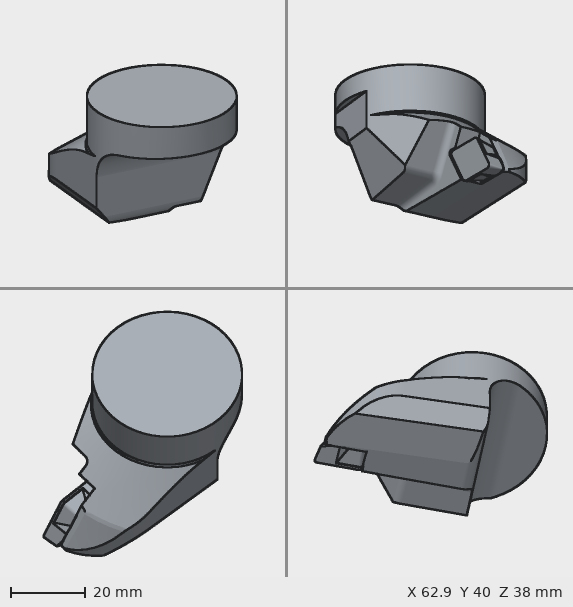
import cadquery as cq
import math

LARGE = 75.45
CUT_MARGIN = 7.55

SHANK_RADIUS = 20.0
SHANK_LENGTH = 14.0
UPPER_CONE_ANGLE = 36.6
LOWER_CONE_ANGLE = 58.6
CONE_JOINT_RADIUS = 35.1
SHANK_FILLET = 0.95
CONE_FILLET = 3.0

NOSE_CENTRE_X = -22.5
SIDE_ANGLE = 29.3

BASE_TILT = 3.1
BASE_CROSS_TILT = 6.2
BASE_EDGE_Y = -15.7
BASE_EDGE_Z = -33.95
BASE_CREST_Z = -35.0
FRONT_CHAMFER_WIDTH = SHANK_RADIUS + BASE_EDGE_Y
FRONT_CHAMFER_HEIGHT = 5.5

REAR_FLAT_Y = 18.1
REAR_FLAT_Z = -6.1
REAR_CHAMFER_Z = -17.0
REAR_CHAMFER_ANGLE = 23.3
HEEL_X = 0.95
HEEL_SHELF_Z = -9.1
HEEL_SHELF_ANGLE = 4.4
HEEL_RADIUS = 9.6
HEEL_CORNER_RADIUS = 3.65

TIP_X = -43.6
TIP_Z = -38.05
TIP_Y = -0.1
SEAT_TURN = 2.4
LEAD_ANGLE = 3.0
POINT_ANGLE = 55.0
EDGE_LENGTH = 13.45
THICKNESS = 5.55
CLEARANCE_ANGLE = 7.0
NOSE_RADIUS = 0.8
BLUNT_RADIUS = 1.75
TIP_RELIEF_LENGTH = 3.9
TIP_RELIEF_HEIGHT = 1.3

RECESS_TOP = 0.8
RECESS_DEPTH = 0.25
RECESS_EXTRA_DEPTH = 0.3
RECESS_START = 6.4
RECESS_RAMP = 0.2
RECESS_EXTRA_RAMP = 2.4
RECESS_CORNER_RADIUS = 0.95

OVERHANG_ANGLE = 30.0
NOTCH_WALL_X = -25.65
NOTCH_WALL_Z = -18.5
NOTCH_FLOOR = 0.55
NOTCH_LOWER_Z = -31.9
NOTCH_CORNER_RADIUS = 2.65
NOTCH_FLOOR_RADIUS = 1.9
POCKET_WALL_X = -29.4
POCKET_WALL_Z = -21.25
NOSE_FLAT_X = -34.45
NOSE_FLAT_Z = -25.5
NOSE_FLAT_RISE = 9.4
NOSE_EDGE_RADIUS = 0.7


def polar(length, angle):
    """Point at a length and an angle in degrees."""
    return (length * math.cos(math.radians(angle)), length * math.sin(math.radians(angle)))


def shift(point, offset):
    return (point[0] + offset[0], point[1] + offset[1])


def slope(angle):
    return math.tan(math.radians(angle))


UPPER_EDGE_ANGLE = LEAD_ANGLE + POINT_ANGLE
BLUNT_LOW = polar(EDGE_LENGTH, LEAD_ANGLE)
BLUNT_HIGH = polar(EDGE_LENGTH, UPPER_EDGE_ANGLE)
FAR_POINT = shift(BLUNT_LOW, BLUNT_HIGH)


def seat_plane(depth=0.0):
    """Plane parallel to the rake face, this deep into the insert; origin at the sharp corner."""
    turn = math.radians(SEAT_TURN)
    normal = (math.sin(turn), -math.cos(turn), 0)
    origin = (TIP_X + depth * normal[0], TIP_Y + depth * normal[1], TIP_Z)
    return cq.Workplane(cq.Plane(origin=origin, xDir=(math.cos(turn), math.sin(turn), 0), normal=normal))



def rhombus(thickness, taper=0.0):
    """Plate below the rake face with rounded corners; a negative thickness goes above it."""
    plane = seat_plane().plane
    corners = [plane.toWorldCoords(p) for p in ((0, 0), BLUNT_LOW, FAR_POINT, BLUNT_HIGH)]
    outline = cq.Face.makeFromWires(cq.Wire.makePolygon(corners, close=True))
    for places, radius in ((corners[::2], NOSE_RADIUS), (corners[1::2], BLUNT_RADIUS)):
        rounded = [v for v in outline.Vertices() if any((v.Center() - p).Length < 0.05 for p in places)]
        outline = outline.fillet2D(radius, rounded)
    return cq.Workplane(plane).add(outline.outerWire()).toPending().extrude(thickness, taper=taper)


def tip_relief(corner, inward_angle):
    """Wedge that bevels the bottom face below a sharp corner."""
    base = seat_plane(THICKNESS).plane
    inward = base.toWorldCoords(polar(0.6, inward_angle)) - base.origin
    across = base.zDir.cross(inward)
    side = cq.Plane(origin=base.toWorldCoords(corner), xDir=inward, normal=across)
    outline = [
        (-TIP_RELIEF_LENGTH, 0),
        (-TIP_RELIEF_LENGTH, 2 * TIP_RELIEF_HEIGHT),
        (TIP_RELIEF_LENGTH, 0),
    ]
    return cq.Workplane(side).polyline(outline).close().extrude(LARGE / 2, both=True)


def flank_recess(corner, edge_angle, inward):
    """Shallow pocket in one flank, from a ramp near the sharp corner past the blunt corner."""
    def section(depth, recess_depth, ramp):
        flank = depth * slope(CLEARANCE_ANGLE)
        points = [
            (RECESS_START, flank - CUT_MARGIN),
            (RECESS_START, flank),
            (RECESS_START + ramp, flank + recess_depth),
            (EDGE_LENGTH, flank + recess_depth),
            (EDGE_LENGTH, flank - CUT_MARGIN),
        ]
        placed = [
            shift(corner, shift(polar(a, edge_angle), polar(b, edge_angle + 90 * inward)))
            for a, b in points
        ]
        return seat_plane(depth).polyline(placed).close().wire().val()

    top = section(RECESS_TOP, RECESS_DEPTH, RECESS_RAMP)
    bottom = section(
        THICKNESS, RECESS_DEPTH + RECESS_EXTRA_DEPTH, RECESS_RAMP + RECESS_EXTRA_RAMP
    )
    return cq.Workplane(cq.Solid.makeLoft([top, bottom], True))


def make_insert():
    insert = rhombus(THICKNESS, CLEARANCE_ANGLE)
    middle_angle = LEAD_ANGLE + POINT_ANGLE / 2
    for corner, turn in (((0, 0), 0), (FAR_POINT, 180)):
        insert = insert.cut(tip_relief(corner, middle_angle + turn))
        insert = insert.cut(flank_recess(corner, LEAD_ANGLE + turn, 1))
        insert = insert.cut(flank_recess(corner, UPPER_EDGE_ANGLE + turn, -1))
    for corner in (BLUNT_LOW, BLUNT_HIGH):
        middle = seat_plane(THICKNESS / 2).plane.toWorldCoords(corner)
        insert = insert.edges(cq.NearestToPointSelector(middle.toTuple())).fillet(RECESS_CORNER_RADIUS)
    return insert



def cone_skirt():
    """Two cones widening below the shank, with a concave fillet at the top."""
    turn = 90 - UPPER_CONE_ANGLE
    tangent = SHANK_FILLET * slope(turn / 2)
    fillet_middle = polar(SHANK_FILLET, 180 + turn / 2)
    top = (SHANK_RADIUS, tangent - SHANK_LENGTH)
    centre = shift(top, (SHANK_FILLET, 0))
    joint_z = -SHANK_LENGTH - (CONE_JOINT_RADIUS - SHANK_RADIUS) * slope(UPPER_CONE_ANGLE)
    bottom_z = joint_z - LARGE / 4
    bottom_radius = CONE_JOINT_RADIUS + (LARGE / 4) / slope(LOWER_CONE_ANGLE)
    skirt = (
        cq.Workplane("XZ")
        .moveTo(0, top[1])
        .lineTo(*top)
        .threePointArc(shift(centre, fillet_middle), shift(centre, polar(SHANK_FILLET, 180 + turn)))
        .lineTo(CONE_JOINT_RADIUS, joint_z)
        .lineTo(bottom_radius, bottom_z)
        .lineTo(0, bottom_z)
        .close()
        .revolve(360, (0, 0), (0, 1))
    )
    return skirt.edges(cq.NearestToPointSelector((0, 0, joint_z))).fillet(CONE_FILLET)


def turned_form():
    """Round shank on the part of the cones that lies inside the plan outline."""
    skirt = cone_skirt().intersect(plan_outline())
    shank_length = SHANK_LENGTH - SHANK_FILLET * slope((90 - UPPER_CONE_ANGLE) / 2)
    return cq.Workplane("XY").circle(SHANK_RADIUS).extrude(-shank_length).union(skirt)


def plan_outline():
    """Vertical prism: shank circle, straight front face, round nose and slanted rear side."""
    nose_left = NOSE_CENTRE_X - SHANK_RADIUS
    diagonal = SHANK_RADIUS * math.sqrt(0.5)
    tangent = polar(SHANK_RADIUS, 90 + SIDE_ANGLE)
    side_end_y = tangent[1] + (POCKET_WALL_X - tangent[0]) * slope(SIDE_ANGLE)
    return (
        cq.Workplane("XY")
        .moveTo(0, -SHANK_RADIUS)
        .lineTo(NOSE_CENTRE_X, -SHANK_RADIUS)
        .threePointArc((NOSE_CENTRE_X - diagonal, -diagonal), (nose_left, 0))
        .lineTo(POCKET_WALL_X, side_end_y)
        .lineTo(*tangent)
        .threePointArc((SHANK_RADIUS, 0), (0, -SHANK_RADIUS))
        .close()
        .extrude(-LARGE)
    )


def side_profile_tool():
    """Everything outside the nose flat, the underside, the heel and the shelf of the shank."""
    rise = slope(BASE_TILT)
    flat_slope = slope(UPPER_EDGE_ANGLE)
    flat_top = shift((NOSE_FLAT_X, NOSE_FLAT_Z), polar(NOSE_FLAT_RISE, UPPER_EDGE_ANGLE))
    nose_x = (BASE_CREST_Z - NOSE_FLAT_Z + NOSE_FLAT_X * flat_slope) / (flat_slope - rise)
    nose = (nose_x, BASE_CREST_Z + nose_x * rise)
    heel = (HEEL_X, BASE_CREST_Z + HEEL_X * rise)
    shelf_slope = slope(HEEL_SHELF_ANGLE)
    shelf = (HEEL_X, HEEL_SHELF_Z - (SHANK_RADIUS - HEEL_X) * shelf_slope)
    section = [
        flat_top,
        nose,
        heel,
        shelf,
        (LARGE, HEEL_SHELF_Z + (LARGE - SHANK_RADIUS) * shelf_slope),
        (LARGE, -LARGE),
        (-LARGE, -LARGE),
        (-LARGE, flat_top[1]),
    ]
    tool = cq.Workplane("XZ").polyline(section).close().extrude(LARGE, both=True)
    for (x, z), radius in (
        (nose, NOSE_EDGE_RADIUS),
        (heel, HEEL_CORNER_RADIUS),
        (shelf, HEEL_RADIUS),
    ):
        tool = tool.edges(cq.NearestToPointSelector((x, 0, z))).fillet(radius)
    return tool


def base_tool():
    """Everything below the tilted underside and its front chamfer."""
    chamfer_slope = FRONT_CHAMFER_HEIGHT / FRONT_CHAMFER_WIDTH
    outer_y = -2 * SHANK_RADIUS
    section = [
        (outer_y, BASE_EDGE_Z + (BASE_EDGE_Y - outer_y) * chamfer_slope),
        (BASE_EDGE_Y, BASE_EDGE_Z),
        (LARGE, BASE_EDGE_Z - (LARGE - BASE_EDGE_Y) * slope(BASE_CROSS_TILT)),
        (LARGE, -LARGE),
        (outer_y, -LARGE),
    ]
    tool = cq.Workplane("YZ").polyline(section).close().extrude(LARGE, both=True)
    pivot = (0, 0, BASE_EDGE_Z)
    return tool.rotate(pivot, (0, 1, BASE_EDGE_Z), -BASE_TILT)


def rear_tool():
    """Everything behind the rear flat and the rear chamfer."""
    section = [
        (LARGE, REAR_FLAT_Z),
        (REAR_FLAT_Y, REAR_FLAT_Z),
        (REAR_FLAT_Y, REAR_CHAMFER_Z),
        (REAR_FLAT_Y - (LARGE + REAR_CHAMFER_Z) * slope(REAR_CHAMFER_ANGLE), -LARGE),
        (LARGE, -LARGE),
    ]
    return cq.Workplane("YZ").polyline(section).close().extrude(LARGE, both=True)


def local(x, z):
    """Position measured from the sharp corner of the insert."""
    return (x - TIP_X, z - TIP_Z)


def notch_tool():
    """Chip space: overhanging wall, rounded lower corner and a filleted floor."""
    lower_x = NOTCH_WALL_X + (NOTCH_WALL_Z - NOTCH_LOWER_Z) * slope(OVERHANG_ANGLE)
    upper_x = NOTCH_WALL_X + NOTCH_WALL_Z * slope(OVERHANG_ANGLE)
    end_x = LARGE / 2
    end_z = NOTCH_LOWER_Z - (end_x - lower_x) * slope(BASE_TILT)
    section = [
        local(upper_x, 0),
        local(lower_x, NOTCH_LOWER_Z),
        local(end_x, end_z),
        local(end_x, -LARGE),
        local(-LARGE, -LARGE),
        local(-LARGE, 0),
    ]
    floor = seat_plane(-NOTCH_FLOOR)
    tool = floor.polyline(section).close().extrude(-LARGE / 2)
    corner = floor.plane.toWorldCoords((*local(lower_x, NOTCH_LOWER_Z), -LARGE / 4))
    tool = tool.edges(cq.NearestToPointSelector(corner.toTuple())).fillet(NOTCH_CORNER_RADIUS)
    wall = floor.plane.toWorldCoords(local((upper_x + lower_x) / 2, NOTCH_LOWER_Z / 2))
    return tool.edges(cq.NearestToPointSelector(wall.toTuple())).fillet(NOTCH_FLOOR_RADIUS)


def pocket_tool():
    """Open space around the insert, beside and above its seat."""
    top_x = POCKET_WALL_X + POCKET_WALL_Z * slope(OVERHANG_ANGLE)
    upper_edge_z = TIP_Z + BLUNT_HIGH[1] + (POCKET_WALL_X - TIP_X - BLUNT_HIGH[0]) * slope(LEAD_ANGLE)
    low_x = POCKET_WALL_X + (POCKET_WALL_Z - upper_edge_z) * slope(OVERHANG_ANGLE)
    section = [
        local(top_x, 0),
        local(low_x, upper_edge_z),
        BLUNT_LOW,
        (BLUNT_LOW[0], -LARGE),
        local(-LARGE, -LARGE),
        local(-LARGE, 0),
    ]
    return seat_plane(THICKNESS).polyline(section).close().extrude(-LARGE / 2)


def make_head():
    head = turned_form()
    for tool in (base_tool(), side_profile_tool(), rear_tool(), notch_tool(), pocket_tool()):
        head = head.cut(tool)
    seat = rhombus(THICKNESS, CLEARANCE_ANGLE).union(rhombus(-CUT_MARGIN))
    return head.cut(seat)


head = make_head()
insert = make_insert()
result = cq.Compound.makeCompound([head.val(), insert.val()])